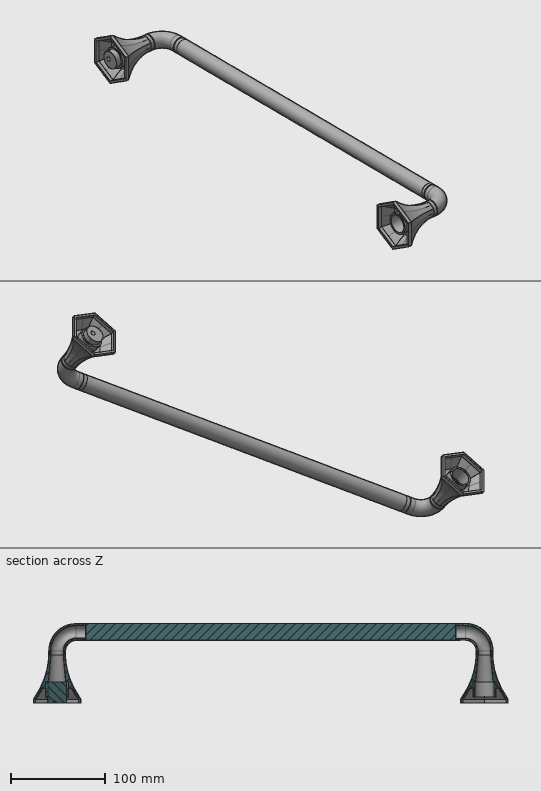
import cadquery as cq
import math

foot_spacing = 450.0
foot_x = foot_spacing / 2
rail_front_y = 84.0
tube_radius = 9.0
rail_y = rail_front_y - tube_radius
sides = (-1, 1)
away_from_wall = (0, 1, 0)
bend_radius = 20.0

elbow_stub = 5.5
rail_half_length = foot_x - bend_radius - elbow_stub
elbow_bore_radius = 6.5
spigot_radius = 8.0
spigot_length = 4.5

foot_top_y = rail_y - bend_radius
neck_y = foot_top_y - spigot_length
rim_half_width = 25.0
rim_thickness = 4.0
wall = 2.5
flare_sections = 6
recess_depth = 15.5

outline_sides = 12
side_angle = 2 * math.pi / outline_sides
hex_corner_ratio = 1 / math.cos(math.pi / 6)

bush_outer_radius = 12.0
bush_inner_radius = 10.0
bush_front_y = 6.5
bush_back_y = 22.5
bush_length = bush_back_y - bush_front_y
passage_mouth_radius = 9.0
plug_front_y = 0.0
dimple_radius = 2.5
dimple_depth = 2.0
dimple_offset = 2.5


def rod(start, direction, radius, length):
    """A solid cylinder from the start point along the direction."""
    return cq.Workplane(cq.Solid.makeCylinder(radius, length, cq.Vector(*start), cq.Vector(*direction)))


def cone(start, start_radius, end_radius, length):
    """A solid cone or frustum from the start point along +Y."""
    axis = cq.Vector(*away_from_wall)
    return cq.Workplane(cq.Solid.makeCone(start_radius, end_radius, length, cq.Vector(*start), axis))


def twelve_sided_wire(x, y, half_width, hexagon_share):
    """A closed wire across Y: a circle at share 0, a hexagon with corners at +Z and -Z at share 1."""
    corner_radius = half_width * (1 + hexagon_share * (hex_corner_ratio - 1))

    def point(angle, radius):
        return cq.Vector(x + radius * math.cos(angle), y, radius * math.sin(angle))

    radii = [half_width, corner_radius]
    edges = []
    for i in range(outline_sides):
        start = point(i * side_angle, radii[i % 2])
        end = point((i + 1) * side_angle, radii[(i + 1) % 2])
        if hexagon_share == 1:
            edges.append(cq.Edge.makeLine(start, end))
        else:
            chord_middle = (start + end) * 0.5
            arc_middle = point((i + 0.5) * side_angle, half_width)
            middle = arc_middle * (1 - hexagon_share) + chord_middle * hexagon_share
            edges.append(cq.Edge.makeThreePointArc(start, middle, end))
    return cq.Wire.assembleEdges(edges)


def prism(wire, length):
    """The wire filled and extruded along +Y."""
    return cq.Workplane(cq.Solid.extrudeLinear(wire, [], cq.Vector(0, length, 0)))


def trumpet(x, far_y, inset):
    """A hexagonal rim and the concave flare behind it, up to far_y, drawn in by the inset.

    Along the flare the half width falls as a parabola while the hexagon turns into a circle.
    """
    sections = []
    for i in range(flare_sections):
        y = rim_thickness + (far_y - rim_thickness) * i / (flare_sections - 1)
        share = (neck_y - y) / (neck_y - rim_thickness)
        half_width = tube_radius + (rim_half_width - tube_radius) * share**2 - inset
        sections.append(twelve_sided_wire(x, y, half_width, share))
    flare = cq.Workplane(cq.Solid.makeLoft(sections))
    rim = prism(twelve_sided_wire(x, 0, rim_half_width - inset, 1), rim_thickness)
    return rim.union(flare)


def make_foot(x):
    """A trumpet with a round neck, hollowed for the bush and the elbow."""
    neck_start = (x, neck_y, 0)
    neck = rod(neck_start, away_from_wall, tube_radius, spigot_length)
    spigot_socket = rod(neck_start, away_from_wall, spigot_radius, spigot_length)
    recess = trumpet(x, recess_depth, wall)
    bush_seat = rod((x, bush_front_y, 0), away_from_wall, bush_outer_radius, bush_length)
    passage_start = (x, bush_back_y, 0)
    passage = cone(passage_start, passage_mouth_radius, elbow_bore_radius, neck_y - bush_back_y)
    foot = trumpet(x, neck_y, 0).union(neck)
    return foot.cut(recess).cut(bush_seat).cut(passage).cut(spigot_socket)


def make_bush(x):
    """A plain ring seated in the floor of the foot recess and standing proud of it."""
    start = (x, bush_front_y, 0)
    outside = rod(start, away_from_wall, bush_outer_radius, bush_length)
    return outside.cut(rod(start, away_from_wall, bush_inner_radius, bush_length))


def make_plug(x):
    """A cylinder filling the bush and standing proud of it, with an off-centre conical dimple."""
    plug = rod((x, plug_front_y, 0), away_from_wall, bush_inner_radius, bush_back_y - plug_front_y)
    dimple = cone((x - dimple_offset, plug_front_y, 0), dimple_radius, 0, dimple_depth)
    return plug.cut(dimple)


def quarter_bend(side, radius):
    """A round bar turned through 90 degrees, from the foot axis to the rail axis."""
    start_plane = cq.Plane(origin=(side * foot_x, foot_top_y, 0), xDir=(1, 0, 0), normal=away_from_wall)
    pivot_x = -side * bend_radius
    bar = cq.Workplane(start_plane).circle(radius)
    return bar.revolve(90, (pivot_x, 0, 0), (pivot_x, -side, 0))


def make_elbow(side):
    """A hollow elbow at the tube radius, with a thinner spigot at each end."""
    x = side * foot_x
    bend_end = (x - side * bend_radius, rail_y, 0)
    toward_rail = (-side, 0, 0)
    foot_spigot_start = (x, neck_y, 0)
    rail_run = elbow_stub + spigot_length

    elbow = (
        quarter_bend(side, tube_radius)
        .union(rod(bend_end, toward_rail, tube_radius, elbow_stub))
        .union(rod(bend_end, toward_rail, spigot_radius, rail_run))
        .union(rod(foot_spigot_start, away_from_wall, spigot_radius, spigot_length))
    )
    return (
        elbow.cut(quarter_bend(side, elbow_bore_radius))
        .cut(rod(bend_end, toward_rail, elbow_bore_radius, rail_run))
        .cut(rod(foot_spigot_start, away_from_wall, elbow_bore_radius, spigot_length))
    )


def make_rail():
    """A straight round bar with a blind socket in each end."""
    rail = rod((-rail_half_length, rail_y, 0), (1, 0, 0), tube_radius, 2 * rail_half_length)
    for side in sides:
        end = (side * rail_half_length, rail_y, 0)
        rail = rail.cut(rod(end, (-side, 0, 0), spigot_radius, spigot_length))
    return rail


rail = make_rail()
elbows = [make_elbow(side) for side in sides]
feet = [make_foot(side * foot_x) for side in sides]
bushes = [make_bush(side * foot_x) for side in sides]
plug = make_plug(-foot_x)

result = cq.Compound.makeCompound(
    [rail.val(), plug.val()] + [body.val() for body in elbows + feet + bushes]
)